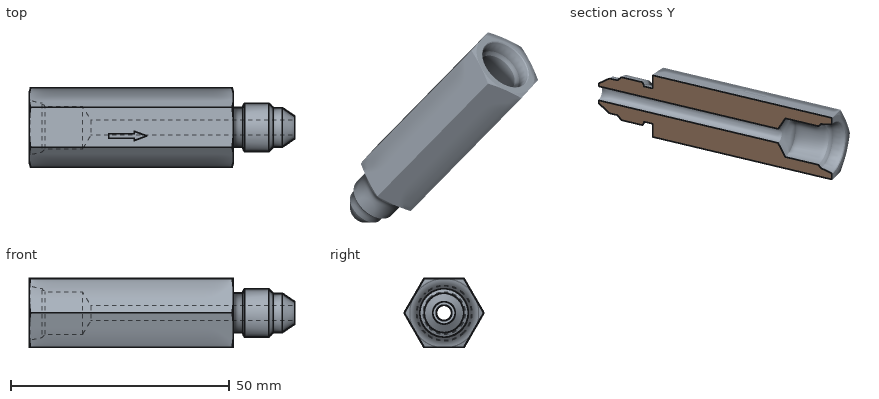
import cadquery as cq
import math

total_length = 60.95
hex_length = 46.9
across_flats = 15.85
across_corners = across_flats / math.cos(math.radians(30))
hex_corner_angle = 15.0

neck_diameter = 9.15
thread_diameter = 11.1
nose_diameter = 9.0
tip_diameter = 5.1
neck_end = 49.0
thread_start_chamfer = 0.4
thread_start_angle = 60.0
thread_end = 55.0
nose_start = thread_end + (thread_diameter - nose_diameter) / 2
nose_end = 58.1

seat_diameter = 12.45
seat_edge_chamfer = 0.2
seat_depth = 2.85
seat_angle = 12.0
port_diameter = 9.75
port_depth = 12.2
drill_point_angle = 118.0

bore_diameter = 3.5

arrow_tail_x = 18.2
arrow_neck_x = 24.15
arrow_tip_x = 26.95
arrow_y = -1.95
arrow_shaft_width = 1.0
arrow_head_width = 2.15
arrow_depth = 0.1


def revolve_about_x(profile):
    """Solid of revolution from (x, radius) points, closed along the X axis."""
    return cq.Workplane("XY").polyline(profile).close().revolve(360, (0, 0, 0), (1, 0, 0))


def make_hex_body():
    body = (
        cq.Workplane("YZ")
        .polygon(6, across_corners)
        .extrude(hex_length)
    )
    flat_radius = across_flats / 2
    corner_radius = across_corners / 2
    bevel = (corner_radius - flat_radius) * math.tan(math.radians(hex_corner_angle))
    envelope = revolve_about_x([
        (0, 0),
        (0, flat_radius),
        (bevel, corner_radius),
        (hex_length - bevel, corner_radius),
        (hex_length, flat_radius),
        (hex_length, 0),
    ])
    return body.intersect(envelope)


def make_male_end():
    thread_radius = thread_diameter / 2
    nose_radius = nose_diameter / 2
    chamfer_height = thread_start_chamfer * math.tan(math.radians(thread_start_angle))
    return revolve_about_x([
        (hex_length, 0),
        (hex_length, neck_diameter / 2),
        (neck_end, neck_diameter / 2),
        (neck_end, thread_radius - chamfer_height),
        (neck_end + thread_start_chamfer, thread_radius),
        (thread_end, thread_radius),
        (nose_start, nose_radius),
        (nose_end, nose_radius),
        (total_length, tip_diameter / 2),
        (total_length, 0),
    ])


def make_port():
    seat_radius = seat_diameter / 2
    seat_bottom_radius = seat_radius - seat_depth * math.tan(math.radians(seat_angle))
    port_radius = port_diameter / 2
    bore_radius = bore_diameter / 2
    point_length = (port_radius - bore_radius) / math.tan(math.radians(drill_point_angle / 2))
    return revolve_about_x([
        (0, 0),
        (0, seat_radius + seat_edge_chamfer),
        (seat_edge_chamfer, seat_radius),
        (seat_depth, seat_bottom_radius),
        (seat_depth + seat_bottom_radius - port_radius, port_radius),
        (port_depth, port_radius),
        (port_depth + point_length, bore_radius),
        (total_length, bore_radius),
        (total_length, 0),
    ])


def make_flow_arrow():
    shaft_half = arrow_shaft_width / 2
    head_half = arrow_head_width / 2
    return (
        cq.Workplane("XY")
        .workplane(offset=across_flats / 2 - arrow_depth)
        .center(0, arrow_y)
        .polyline([
            (arrow_tail_x, -shaft_half),
            (arrow_neck_x, -shaft_half),
            (arrow_neck_x, -head_half),
            (arrow_tip_x, 0),
            (arrow_neck_x, head_half),
            (arrow_neck_x, shaft_half),
            (arrow_tail_x, shaft_half),
        ])
        .close()
        .extrude(arrow_depth)
    )


fitting = make_hex_body().union(make_male_end())
result = fitting.cut(make_port()).cut(make_flow_arrow())